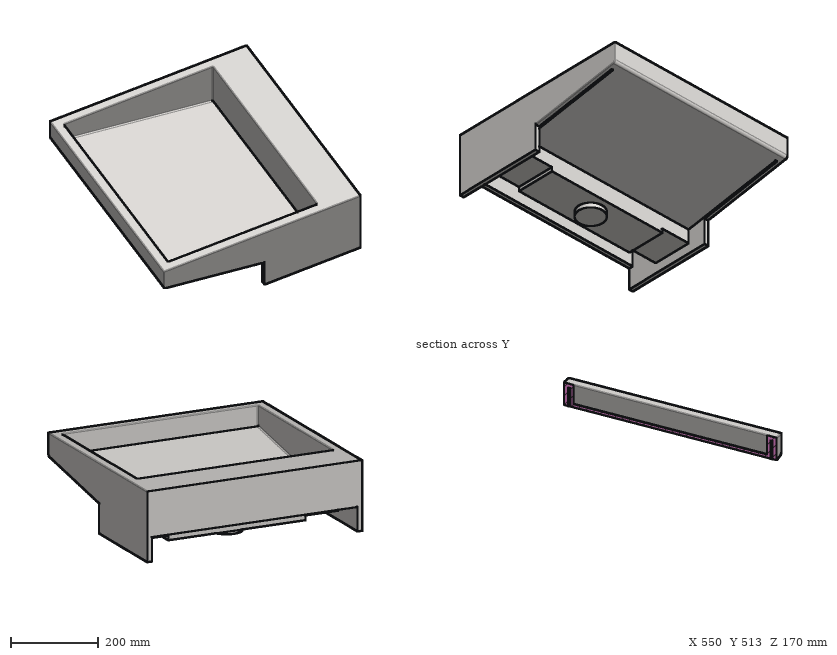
import cadquery as cq
import math

width = 550.0
depth = 513.0
height = 170.0

wall = 12.0
lip_height = 57.0
slope_angle = 9.0
leg_front = 263.0
edge_radius = 2.0
lip_radius = 8.0
back_panel_drop = 111.0

rim = 24.25
basin_length = 388.5
basin_wall = 8.0
floor_thickness = 10.0
floor_radius = 3.0
rim_radius = 2.0

housing_front = 312.0
housing_bottom = -145.0
step_width = 351.0
step_bottom = -156.5
drain_diameter = 74.0

slope = math.tan(math.radians(slope_angle))
basin_back = rim + basin_length
basin_width = width - 2 * rim
tub_width = basin_width + 2 * basin_wall
tub_back = basin_back + basin_wall
overlap = 1.0


def underside(y):
    """Height of the sloping underside at distance y behind the front edge."""
    return -lip_height - slope * y


def side_prism(points, prism_width):
    """Prism centred on X whose (Y, Z) outline is given."""
    return cq.Workplane("YZ").polyline(points).close().extrude(prism_width / 2, both=True)


def box_between(box_width, y_front, y_back, z_bottom, z_top):
    """Box centred on X between the given Y and Z limits."""
    return side_prism(
        [(y_front, z_bottom), (y_back, z_bottom), (y_back, z_top), (y_front, z_top)],
        box_width,
    )


def make_envelope():
    """Full-width outer body: deep at the back, tapering up to the front lip."""
    body = side_prism(
        [
            (0, 0),
            (0, underside(0)),
            (leg_front, underside(leg_front)),
            (leg_front, -height),
            (depth, -height),
            (depth, 0),
        ],
        width,
    )
    lip_middle = (0, 0, underside(0))
    body = body.edges(cq.selectors.NearestToPointSelector(lip_middle)).fillet(lip_radius)
    side_middle_x = width / 2
    slope_middle = leg_front / 2
    rounded = body.faces("<Y").edges("|X and >Z or |Z")
    rounded = rounded.add(body.faces(">Z").edges("|Y"))
    for side in (-1, 1):
        slope_point = (side * side_middle_x, slope_middle, underside(slope_middle))
        rounded = rounded.add(body.edges(cq.selectors.NearestToPointSelector(slope_point)))
    return rounded.fillet(edge_radius)


def make_underside_cavity():
    """Open space between the side walls, below the deck and behind the front lip."""
    return box_between(width - 2 * wall, rim, depth - wall, -height - overlap, -wall)


def make_back_opening():
    """Opening below the back panel, between the two legs."""
    return box_between(
        width - 2 * wall, depth - wall - overlap, depth + overlap, -height - overlap, -back_panel_drop
    )


def make_tub():
    """Solid block for the basin, its sloping floor parallel to the underside."""
    return side_prism(
        [
            (rim - overlap, -wall / 2),
            (rim - overlap, underside(rim - overlap)),
            (tub_back, underside(tub_back)),
            (tub_back, -wall / 2),
        ],
        tub_width,
    )


def make_basin_pocket():
    """Basin hollow with rounded corners and rounded joins to the floor along its sides."""
    pocket = side_prism(
        [
            (rim, 0),
            (rim, underside(rim) + floor_thickness),
            (basin_back, underside(basin_back) + floor_thickness),
            (basin_back, 0),
        ],
        basin_width,
    )
    return pocket.edges("not |X").edges("not >Z").fillet(floor_radius)


def round_basin_rim(body):
    """Round the edge between the deck and the basin walls."""
    basin_zone = cq.selectors.BoxSelector(
        (-basin_width / 2 - overlap, rim - overlap, -overlap),
        (basin_width / 2 + overlap, basin_back + overlap, overlap),
    )
    return body.faces(">Z").edges(basin_zone).fillet(rim_radius)


def make_waste_housing():
    """Housing under the back of the basin, with a lower step and a drain outlet."""
    roof = underside(housing_front) + floor_thickness / 2
    housing = box_between(tub_width, housing_front, tub_back, housing_bottom, roof)
    step = box_between(step_width, housing_front, tub_back, step_bottom, housing_bottom)
    drain_y = (housing_front + tub_back) / 2
    drain = (
        cq.Workplane("XY", origin=(0, drain_y, -height))
        .circle(drain_diameter / 2)
        .extrude(height + step_bottom)
    )
    return housing.union(step).union(drain)


body = (
    make_envelope()
    .cut(make_underside_cavity())
    .cut(make_back_opening())
    .union(make_tub())
    .union(make_waste_housing())
    .cut(make_basin_pocket())
)
result = round_basin_rim(body)